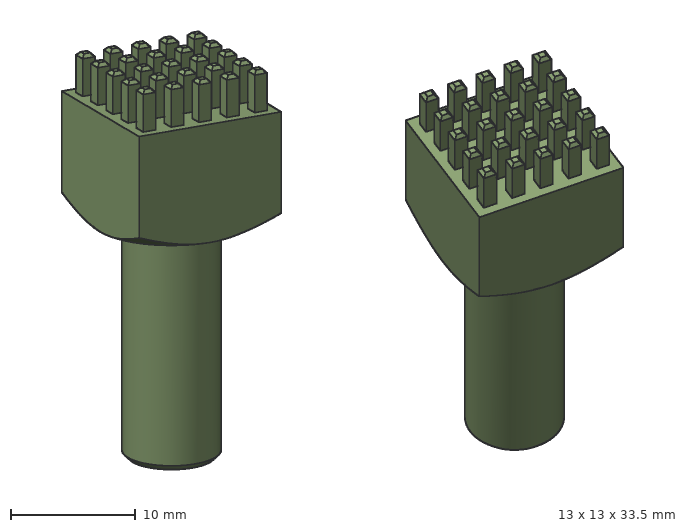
import cadquery as cq
import math

total_height = 33.5
shank_height = 20.0
pin_height = 3.5
head_height = total_height - shank_height - pin_height

head_width = 13.0
cone_angle = 28.0
cone_base_radius = head_width / 2

shank_diameter = 8.0
shank_chamfer = 0.5

pins_per_side = 5
pin_pitch = 2.55
pin_width = 1.15
tip_width = pin_width / 2
tip_height = 0.3

head_bottom = shank_height
head_top = head_bottom + head_height


def make_shank():
    """Cylinder on the Z axis with a chamfered lower end."""
    shank = cq.Workplane("XY").circle(shank_diameter / 2).extrude(shank_height)
    return shank.faces("<Z").chamfer(shank_chamfer)


def make_head():
    """Square block whose lower corners are cut back by a cone opening upward."""
    block = (
        cq.Workplane("XY")
        .workplane(offset=head_bottom)
        .rect(head_width, head_width)
        .extrude(head_height)
    )
    outer_radius = head_width
    cone_rise = (outer_radius - cone_base_radius) * math.tan(math.radians(cone_angle))
    envelope = (
        cq.Workplane("XZ")
        .moveTo(0, head_bottom)
        .lineTo(cone_base_radius, head_bottom)
        .lineTo(outer_radius, head_bottom + cone_rise)
        .lineTo(outer_radius, head_top)
        .lineTo(0, head_top)
        .close()
        .revolve(360, (0, 0, 0), (0, 1, 0))
    )
    return block.intersect(envelope)


def make_pins():
    """Grid of square pins standing on the head, each tapering at the tip."""
    shaft_height = pin_height - tip_height
    grid = (pin_pitch, pin_pitch, pins_per_side, pins_per_side)
    shafts = (
        cq.Workplane("XY")
        .workplane(offset=head_top)
        .rarray(*grid)
        .rect(pin_width, pin_width)
        .extrude(shaft_height)
    )
    taper = math.degrees(math.atan((pin_width - tip_width) / 2 / tip_height))
    tips = (
        cq.Workplane("XY")
        .workplane(offset=head_top + shaft_height)
        .rarray(*grid)
        .rect(pin_width, pin_width)
        .extrude(tip_height, taper=taper)
    )
    return shafts.union(tips)


result = make_shank().union(make_head()).union(make_pins())